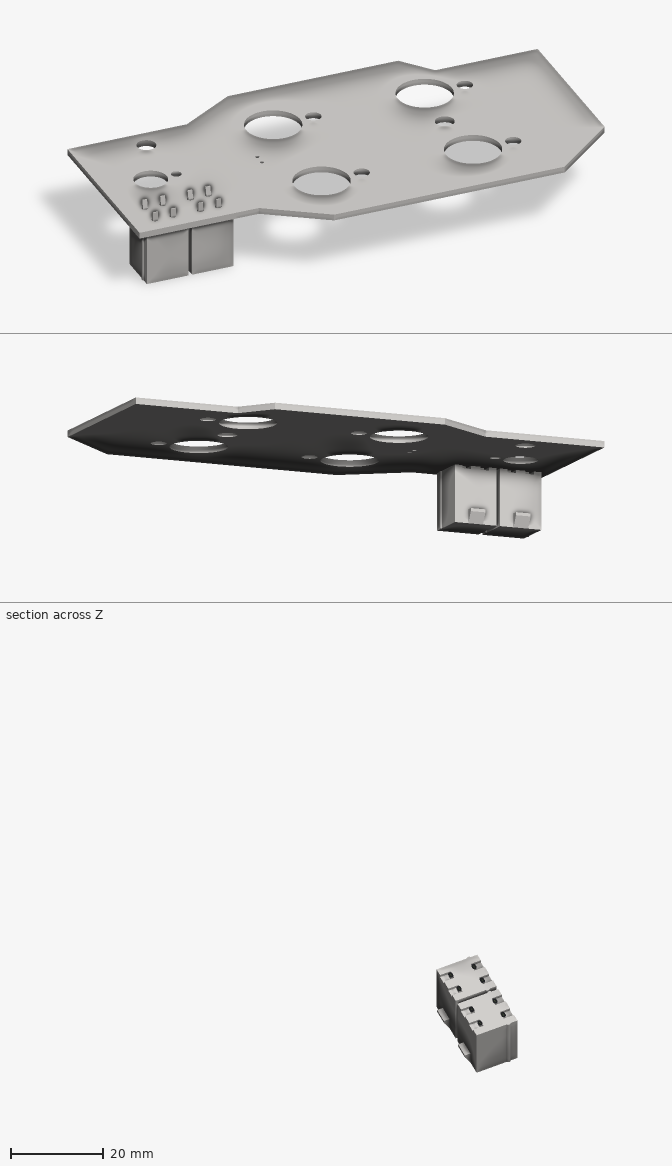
import cadquery as cq


board_length = 111.0
board_thickness = 1.4
neck_width = 40.1
neck_length = 28.1
left_edge_x = -28.0
right_edge_x = 29.1
left_flare_end_y = 41.1
right_flare_end_y = 42.0
notch_x = -21.0
notch_start_y = 81.1
notch_end_y = 86.9
corner_cut_x = 16.2
corner_cut_y = 96.1

opening_diameter = 12.7
opening_pitch_x = 26.9
opening_pitch_y = 35.6
opening_grid_center = (0.9, 63.0)
index_hole_diameter = 3.5
index_hole_offset_y = 9.4

screw_hole_diameter = 4.3
screw_hole_centers = [(0.5, 80.0), (-15.0, 16.4)]
sensor_hole_diameter = 7.5
sensor_hole_center = (-0.8, 11.4)
sensor_index_diameter = 2.3
sensor_index_offset_y = 6.0
lead_hole_diameter = 0.9
lead_pitch = 2.5
lead_pair_center = (0.4, 36.5)

connector_count = 2
connector_pitch = 10.7
connector_group_center = (13.2, 12.8)
housing_size = 9.8
housing_height = 12.8
board_clearance = 0.1

rib_width = 1.0
rib_height = 0.28
rib_offset_x = 2.8

latch_width = 3.4
latch_reach = 1.3
latch_height = 3.1
latch_tip_height = 0.7

pin_pitch_x = 5.5
pin_pitch_y = 4.2
pin_length = 3.5
pin_width = 1.1
pin_base_thickness = 0.7
pin_tip_thickness = 0.2
pin_hole_diameter = 1.4

pocket_width = 2.0
pocket_depth = 0.7


def centered_positions(count, pitch):
    """Return evenly spaced positions that are centered on zero."""
    return [(i - (count - 1) / 2) * pitch for i in range(count)]


def grid_around(center, pitch_x, pitch_y):
    """Return the four points of a 2x2 grid around a center."""
    return [
        (center[0] + dx, center[1] + dy)
        for dx in centered_positions(2, pitch_x)
        for dy in centered_positions(2, pitch_y)
    ]


connector_centers = [
    (connector_group_center[0], connector_group_center[1] + dy)
    for dy in centered_positions(connector_count, connector_pitch)
]


def drill(board, centers, diameter):
    """Cut round holes through the board."""
    holes = cq.Workplane("XY").pushPoints(centers).circle(diameter / 2).extrude(board_thickness)
    return board.cut(holes)


def make_board():
    half_neck = neck_width / 2
    outline = [
        (-half_neck, 0),
        (half_neck, 0),
        (half_neck, neck_length),
        (right_edge_x, right_flare_end_y),
        (right_edge_x, corner_cut_y),
        (corner_cut_x, board_length),
        (notch_x, board_length),
        (notch_x, notch_end_y),
        (left_edge_x, notch_start_y),
        (left_edge_x, left_flare_end_y),
        (-half_neck, neck_length),
    ]
    board = cq.Workplane("XY").polyline(outline).close().extrude(board_thickness)

    opening_centers = grid_around(opening_grid_center, opening_pitch_x, opening_pitch_y)
    index_hole_centers = [(x, y + index_hole_offset_y) for x, y in opening_centers]
    board = drill(board, opening_centers, opening_diameter)
    board = drill(board, index_hole_centers, index_hole_diameter)

    board = drill(board, screw_hole_centers, screw_hole_diameter)

    sensor_index_center = (sensor_hole_center[0], sensor_hole_center[1] + sensor_index_offset_y)
    board = drill(board, [sensor_hole_center], sensor_hole_diameter)
    board = drill(board, [sensor_index_center], sensor_index_diameter)

    lead_centers = [
        (lead_pair_center[0] + dx, lead_pair_center[1]) for dx in centered_positions(2, lead_pitch)
    ]
    board = drill(board, lead_centers, lead_hole_diameter)

    for center in connector_centers:
        board = drill(board, grid_around(center, pin_pitch_x, pin_pitch_y), pin_hole_diameter)
    return board


def make_rib(side):
    """Rounded rib along the height of the housing wall at side * Y."""
    wall_y = side * housing_size / 2
    return (
        cq.Workplane("XY")
        .moveTo(rib_offset_x - rib_width / 2, wall_y)
        .threePointArc(
            (rib_offset_x, wall_y + side * rib_height),
            (rib_offset_x + rib_width / 2, wall_y),
        )
        .close()
        .extrude(-housing_height)
    )


def make_latch():
    """Wedge with a flat top that slopes back to the wall at the housing bottom."""
    wall_x = -housing_size / 2
    tip_x = wall_x - latch_reach
    top_z = latch_height - housing_height
    profile = [
        (wall_x, top_z),
        (tip_x, top_z),
        (tip_x, top_z - latch_tip_height),
        (wall_x, -housing_height),
    ]
    return cq.Workplane("XZ").polyline(profile).close().extrude(latch_width / 2, both=True)


def make_pocket(side, y):
    """Pocket from the side * X wall to the inner face of the pin."""
    inner_x = pin_pitch_x / 2 - pin_base_thickness / 2
    length = housing_size / 2 - inner_x
    return (
        cq.Workplane("XY")
        .center(side * (inner_x + length / 2), y)
        .rect(length, pocket_width)
        .extrude(-pocket_depth)
    )


def make_pin(side, y):
    """Flat pin with an upright outer face and an inner face that tapers above the board."""
    outer_x = pin_pitch_x / 2 + pin_base_thickness / 2
    base_x = outer_x - pin_base_thickness
    tip_x = outer_x - pin_tip_thickness
    profile = [
        (side * outer_x, -pocket_depth),
        (side * outer_x, pin_length),
        (side * tip_x, pin_length),
        (side * base_x, board_clearance + board_thickness),
        (side * base_x, -pocket_depth),
    ]
    pin = cq.Workplane("XZ").polyline(profile).close().extrude(pin_width / 2, both=True)
    return pin.translate((0, y, 0))


def make_connector(center):
    """Connector with its housing top at Z = 0, then lowered to hang just below the board."""
    housing = cq.Workplane("XY").rect(housing_size, housing_size).extrude(-housing_height)
    for side in (-1, 1):
        housing = housing.union(make_rib(side))
    connector = housing.union(make_latch())
    for side in (-1, 1):
        for y in centered_positions(2, pin_pitch_y):
            connector = connector.cut(make_pocket(side, y)).union(make_pin(side, y))
    return connector.translate((center[0], center[1], -board_clearance))


board = make_board()
connectors = [make_connector(center) for center in connector_centers]

result = cq.Compound.makeCompound([board.val(), *[connector.val() for connector in connectors]])